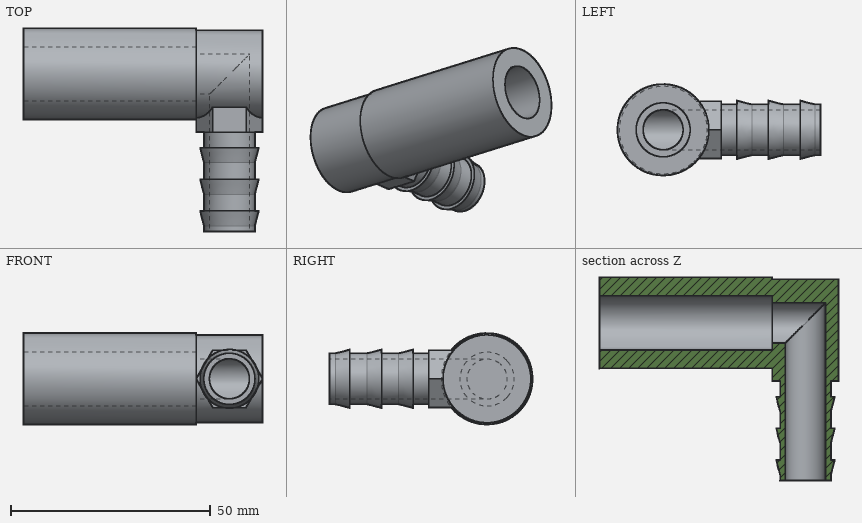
import cadquery as cq

total_length = 60.0
total_depth = 51.0
sleeve_diameter = 23.0
sleeve_length = 43.3
head_diameter = 22.0
head_length = total_length - sleeve_length
tail_x = sleeve_length + head_length / 2

hex_corner_margin = 0.005
hex_corner_width = head_length - 2 * hex_corner_margin
hex_end = 14.6

tail_diameter = 12.85
tail_end = total_depth - sleeve_diameter / 2
barb_diameter = 14.75
barb_length = 3.7
first_barb = 18.5
barb_pitch = 7.9
barb_count = 3

bore_diameter = 10.0
socket_diameter = 13.55
socket_depth = sleeve_length


def x_cylinder(diameter, start, length):
    """Cylinder on the main axis, starting at the given X."""
    return cq.Workplane("YZ").workplane(offset=start).circle(diameter / 2).extrude(length)


def tail_plane(distance=0.0):
    """Plane facing -Y at the given distance from the main axis, centred on the tail."""
    return cq.Workplane("XZ", origin=(tail_x, -distance, 0))


def tail_cylinder(diameter, start, length):
    """Cylinder on the tail axis, running outward from the given distance."""
    return tail_plane(start).circle(diameter / 2).extrude(length)


def hose_tail():
    """Turned tail: each barb steps out sharply on the hexagon side and tapers toward the tip."""
    tail_radius = tail_diameter / 2
    profile = cq.Workplane("XY", origin=(tail_x, 0, 0)).lineTo(tail_radius, 0)
    for index in range(barb_count):
        start = first_barb + index * barb_pitch
        profile = profile.lineTo(tail_radius, -start)
        profile = profile.lineTo(barb_diameter / 2, -start)
        profile = profile.lineTo(tail_radius, -start - barb_length)
    profile = profile.lineTo(tail_radius, -tail_end).lineTo(0, -tail_end).close()
    return profile.revolve(360, (0, 0, 0), (0, 1, 0))


def elbow_bore():
    """Two equal bores that meet in a mitred corner and do not run past it."""
    main_bore = x_cylinder(bore_diameter, 0, tail_x)
    tail_bore = tail_cylinder(bore_diameter, 0, tail_end)
    corner_start = bore_diameter / 2
    corner = x_cylinder(bore_diameter, tail_x - corner_start, bore_diameter).intersect(
        tail_cylinder(bore_diameter, -corner_start, bore_diameter)
    )
    return main_bore.union(tail_bore).union(corner)


body = x_cylinder(sleeve_diameter, 0, sleeve_length)
body = body.union(x_cylinder(head_diameter, sleeve_length, head_length))
body = body.union(tail_plane().polygon(6, hex_corner_width).extrude(hex_end))
body = body.union(hose_tail())

body = body.cut(elbow_bore())
result = body.cut(x_cylinder(socket_diameter, 0, socket_depth))